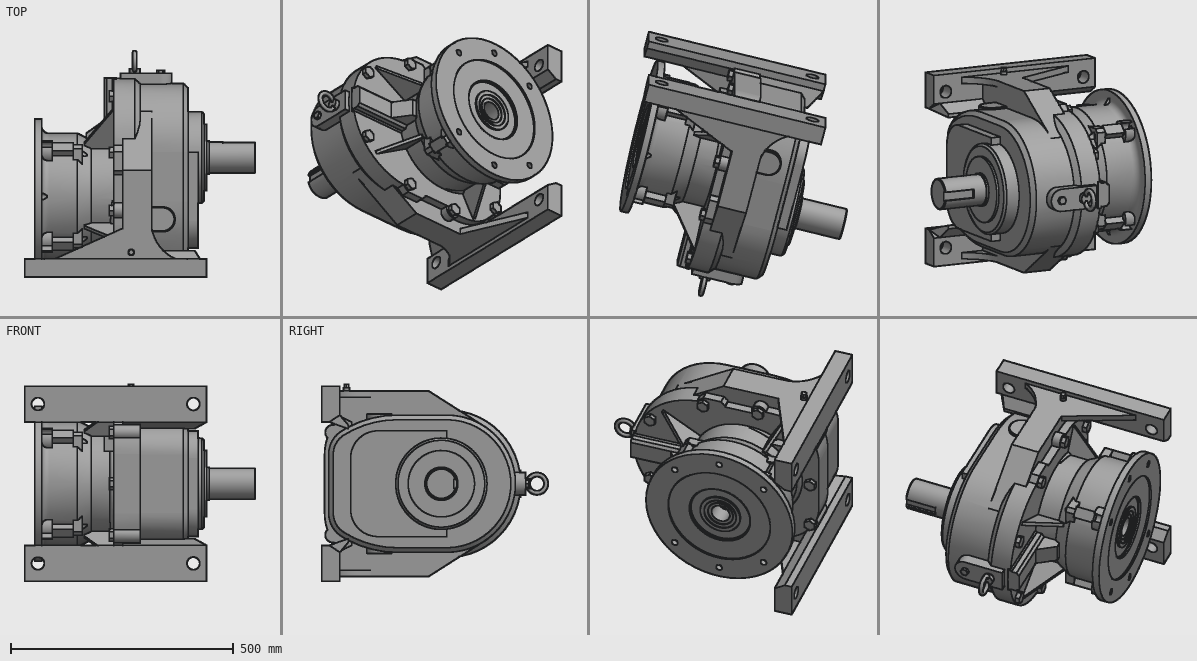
import cadquery as cq
import math


OUTPUT_Y = 88.0
BODY_Y = 100.5
BASE_Y = -181.5
RIM_BOTTOM_Y = -175.0

COVER_X = 178.5
COVER_END_X = 193.0
CROWN_RIM_END_X = 225.5
RIM_END_X = 238.0
BODY_END_X = 345.5

FLANGE_R = 350.0 / 2
FLANGE_T = 16.0
BELL_R = 142.5
BELL_TAPER_X = 96.0
BELL_NECK_X = 123.0
BELL_NECK_R = 129.0
NECK_X = 128.0
NECK_R = 126.0
BELL_FILLET = 15.0
COLLAR_T = 9.0
COLLAR_FILLET = 8.0
COLLAR_DROP = 10.0
BOLT_CIRCLE_R = 150.0
FLANGE_HOLE_D = 14.0
FLANGE_HOLE_DEPTH = 29.0
FLANGE_HOLE_ANGLES = (45, 90, 135, 225, 270, 315)
DIAGONALS = (45, 135, 225, 315)

RIM_R = 166.5
BODY_R = 154.5
BODY_CHAMFER = 10.5
SKIRT_HALF_Z = 178.0
SKIRT_TOP_Y = -47.0
SKIRT_CORNER_R = 111.5
BODY_SIDE_END_Y = -11.5
BODY_FLAT_HALF_Z = 65.5

FOOT_START_X = -23.0
FOOT_END_X = 387.5
FOOT_T = 41.0
FOOT_TOP_Y = BASE_Y + FOOT_T
FOOT_OUTER_Z = 220.0
FOOT_INNER_Z = 139.0
FOOT_BEVEL_Z = 15.5
FOOT_BEVEL_Y = 24.5
FOOT_HOLE_D = 28.0
FOOT_HOLE_Z = 179.5
FOOT_HOLE_XS = (7.5, 357.0)

ARM_X0 = 198.0
ARM_X1 = 263.5
ARM_OUTER_Z = 209.0
ARM_PLATE_T = 14.5
ARM_SLOPE_Y = 59.5
ARM_TOP_Y = 191.5
ARM_BOTTOM_Y = -114.5
ARM_TOP_Z = 125.0
FLARE_Y = -72.0

OVERLAP = 5.0


def rod_x(diameter, x0, x1, y=0.0, z=0.0):
    return cq.Workplane("YZ", origin=(x0, y, z)).circle(diameter / 2).extrude(x1 - x0)


def box(x0, x1, y0, y1, z0, z1):
    size = cq.Workplane("XY").box(x1 - x0, y1 - y0, z1 - z0, centered=False)
    return size.translate((x0, y0, z0))


def prism_x(outline, x0, x1):
    """Extrude a (Y, Z) outline along X."""
    return cq.Workplane("YZ", origin=(x0, 0, 0)).polyline(outline).close().extrude(x1 - x0)


def mirrored_z(solid):
    return solid.union(solid.mirror("XY"))


def turn_x(solid, angle):
    """Turn a solid about the input axis, from +Y towards +Z."""
    return solid.rotate((0, 0, 0), (1, 0, 0), angle)


def make_bell():
    arc = 1 - math.sqrt(0.5)
    fillet_end_x = FLANGE_T + BELL_FILLET
    profile = (
        cq.Workplane("XY")
        .lineTo(0, FLANGE_R)
        .lineTo(FLANGE_T, FLANGE_R)
        .lineTo(FLANGE_T, BELL_R + BELL_FILLET)
        .threePointArc(
            (FLANGE_T + arc * BELL_FILLET, BELL_R + arc * BELL_FILLET), (fillet_end_x, BELL_R)
        )
        .lineTo(BELL_TAPER_X, BELL_R)
        .lineTo(BELL_NECK_X, BELL_NECK_R)
        .lineTo(NECK_X, NECK_R)
        .lineTo(COVER_X + OVERLAP, NECK_R)
        .lineTo(COVER_X + OVERLAP, 0)
        .close()
    )
    bell = profile.revolve(360, (0, 0, 0), (1, 0, 0))
    collar = rod_x(2 * NECK_R, COVER_X - COLLAR_T, COVER_X + OVERLAP, -COLLAR_DROP)
    return bell.union(collar.faces("<X").fillet(COLLAR_FILLET))


def add_bell_ribs(part):
    """Diagonal ribs with nut pockets behind the flange, ending in a square pad with tool grooves."""
    rib_outer_r = 158.0
    rib_width = 25.0
    pad_x0 = 86.5
    pad_x1 = 107.0
    pad_half = 116.0
    pad_corner_cut = 8.5
    boss_d = 52.0
    boss_r = 140.5
    pocket_d = 26.0
    pocket_x1 = 39.5
    groove_d = 15.5
    groove_r = 139.5
    pad = (
        box(pad_x0, pad_x1, -pad_half, pad_half, -pad_half, pad_half)
        .edges("|X")
        .chamfer(pad_corner_cut)
    )
    part = part.union(pad)
    rib = box(FLANGE_T - OVERLAP, pad_x0, NECK_R, rib_outer_r, -rib_width / 2, rib_width / 2)
    boss = rod_x(boss_d, FLANGE_T - OVERLAP, pocket_x1, boss_r)
    pocket = rod_x(pocket_d, FLANGE_T, pocket_x1, BOLT_CIRCLE_R + OVERLAP)
    groove = rod_x(groove_d, pad_x1 - OVERLAP, BELL_NECK_X, groove_r)
    for angle in DIAGONALS:
        part = part.union(turn_x(rib.union(boss), angle))
        part = part.cut(turn_x(pocket.union(groove), angle))
    return part


def cut_flange_face(part):
    """Bolt holes, spigot recess and stepped input bore."""
    hole = rod_x(FLANGE_HOLE_D, 0, FLANGE_HOLE_DEPTH, BOLT_CIRCLE_R)
    for angle in FLANGE_HOLE_ANGLES:
        part = part.cut(turn_x(hole, angle))
    recess_d = 244.0
    recess_depth = 4.0
    seat_d = 145.5
    seat_depth = 10.5
    seat_lip_d = 141.5
    seat_lip_depth = 9.0
    hub_d = 95.0
    hub_depth = 6.0
    sleeve_d = 76.5
    collar_d = 60.0
    collar_depth = 8.5
    bore_d = 43.5
    bore_depth = 52.0
    part = part.cut(rod_x(recess_d, 0, recess_depth))
    part = part.cut(rod_x(seat_d, 0, seat_lip_depth))
    part = part.cut(rod_x(seat_lip_d, 0, seat_depth))
    part = part.union(rod_x(hub_d, hub_depth, seat_depth + OVERLAP))
    part = part.cut(rod_x(sleeve_d, 0, collar_depth))
    part = part.cut(rod_x(collar_d, 0, seat_depth))
    return part.cut(rod_x(bore_d, 0, bore_depth))


BOLT_SITES = ((225.5, 85.0), (99.5, 160.0), (-31.5, 173.0), (-156.5, 115.5))
BOTTOM_BOLT_Y = -156.5


def make_rim():
    """Cover and rim together: crown disc, straight sides, wide skirt and bolt bosses."""
    rim = rod_x(2 * RIM_R, COVER_X, CROWN_RIM_END_X, BODY_Y)
    cone = (
        cq.Workplane("YZ", origin=(CROWN_RIM_END_X, BODY_Y, 0))
        .circle(RIM_R)
        .workplane(offset=RIM_END_X - CROWN_RIM_END_X)
        .circle(BODY_R)
        .loft()
    )
    rim = rim.union(cone)
    rim = rim.union(box(COVER_X, CROWN_RIM_END_X, SKIRT_TOP_Y, BODY_Y, -RIM_R, RIM_R))

    skirt = box(COVER_X, RIM_END_X, RIM_BOTTOM_Y, SKIRT_TOP_Y, -SKIRT_HALF_Z, SKIRT_HALF_Z)
    rim = rim.union(skirt.edges("|X and <Y").fillet(SKIRT_CORNER_R))

    ledge_z = 179.0
    ledge_bottom_y = 49.0
    ledge_top_y = 101.0
    ledge_bevel = 9.5
    ledge_blend_y = 120.5
    ledge_outline = [(ledge_bottom_y, 0), (ledge_bottom_y, ledge_z - ledge_bevel),
                     (ledge_bottom_y + ledge_bevel, ledge_z), (ledge_top_y, ledge_z),
                     (ledge_blend_y, RIM_R - 5.0), (ledge_blend_y, 0)]
    ledge = mirrored_z(prism_x(ledge_outline, COVER_X, CROWN_RIM_END_X))
    rim = rim.union(ledge)

    boss_d = 34.5
    for y, z in BOLT_SITES[2:]:
        rim = rim.union(mirrored_z(rod_x(boss_d, COVER_X, RIM_END_X, y, z)))
    return rim


def make_body():
    """Round crown, upright sides, and lower corners that curl under to a flat bottom."""
    bottom_y = -166.0
    corner_y = -137.0
    corner_z = 118.5
    half = (
        cq.Workplane("YZ", origin=(RIM_END_X - OVERLAP, 0, 0))
        .moveTo(BODY_Y + BODY_R, 0)
        .radiusArc((BODY_Y, BODY_R), -BODY_R)
        .lineTo(BODY_SIDE_END_Y, BODY_R)
        .tangentArcPoint((corner_y, corner_z), relative=False)
        .tangentArcPoint((bottom_y, BODY_FLAT_HALF_Z), relative=False)
        .lineTo(bottom_y, 0)
        .close()
        .extrude(BODY_END_X - RIM_END_X + OVERLAP)
    )
    return mirrored_z(half).faces(">X").chamfer(BODY_CHAMFER)


def make_side_window():
    """Round-ended raised pad on each flank of the body."""
    centre_x = 288.0
    centre_y = -51.5
    radius = 28.0
    pad_z = 158.0
    pad_chamfer = 2.0
    slot = cq.Workplane("XY", origin=(centre_x, centre_y, 0)).circle(radius).extrude(pad_z)
    slot = slot.union(box(ARM_X1 - OVERLAP, centre_x, centre_y - radius, centre_y + radius, 0, pad_z))
    return mirrored_z(slot.faces(">Z").edges().chamfer(pad_chamfer))


def make_output_end():
    block_x1 = 368.0
    block_half_z = 119.0
    block_bottom_y = -116.5
    block_top_y = 100.0
    block_corner_r = 61.5
    cap_d = 206.0
    cap_x1 = 381.5
    cap_chamfer = 5.0
    seal_d = 150.0
    seal_x1 = 387.5
    shoulder_d = 75.0
    shoulder_x1 = 392.5
    shaft_d = 70.0
    shaft_x1 = 497.0
    shaft_chamfer = 2.0
    key_x0 = 424.0
    key_width = 20.0
    key_depth = 7.5

    start = BODY_END_X - OVERLAP
    block = box(start, block_x1, block_bottom_y, block_top_y, -block_half_z, block_half_z)
    end = block.edges("|X and <Y").fillet(block_corner_r)
    end = end.union(rod_x(cap_d, start, cap_x1, OUTPUT_Y).faces(">X").chamfer(cap_chamfer))
    end = end.union(rod_x(seal_d, start, seal_x1, OUTPUT_Y))
    end = end.union(rod_x(shoulder_d, start, shoulder_x1, OUTPUT_Y))
    end = end.union(rod_x(shaft_d, start, shaft_x1, OUTPUT_Y).faces(">X").chamfer(shaft_chamfer))
    key_top = OUTPUT_Y + shaft_d / 2
    keyway = box(key_x0, shaft_x1, key_top - key_depth, key_top, -key_width / 2, key_width / 2)
    return end.cut(keyway)


def hex_bolts():
    """Hexagon heads on the cover, one corner pointing along Z."""
    head_d = 27.5
    head_h = 10.5
    sites = [(BOTTOM_BOLT_Y, 0)]
    for y, z in BOLT_SITES:
        sites += [(y, z), (y, -z)]
    head = cq.Workplane("YZ", origin=(COVER_X - head_h, 0, 0)).polygon(6, head_d)
    head = head.extrude(head_h + OVERLAP).rotate((0, 0, 0), (1, 0, 0), 90)
    bolts = head.translate((0, *sites[0]))
    for y, z in sites[1:]:
        bolts = bolts.union(head.translate((0, y, z)))
    return bolts


def cover_gusset(angle, outer_r):
    """Radial triangular web between the bell and the cover."""
    thickness = 8.0
    foot_x = 111.5
    foot_r = 138.0
    web = (
        cq.Workplane("XY", origin=(0, 0, -thickness / 2))
        .polyline([(foot_x, foot_r), (COVER_X + OVERLAP, outer_r + OVERLAP),
                   (COVER_X + OVERLAP, NECK_R - OVERLAP), (foot_x, NECK_R - OVERLAP)])
        .close()
        .extrude(thickness)
    )
    return turn_x(web, angle)


def make_cover_ribs():
    spine_x = 156.5
    spine_half_z = 30.5
    spine_flank_half_z = 27.0
    spine_face_half_z = 21.0
    spine_top_y = 267.0
    spine_knee_y = 171.0
    spine_foot_x = 116.0
    side = (
        cq.Workplane("XY", origin=(0, 0, -spine_half_z))
        .polyline([(spine_foot_x, BELL_R), (spine_x, spine_knee_y), (spine_x, spine_top_y),
                   (COVER_X + OVERLAP, spine_top_y), (COVER_X + OVERLAP, NECK_R - OVERLAP),
                   (spine_foot_x, NECK_R - OVERLAP)])
        .close()
        .extrude(2 * spine_half_z)
    )
    nose_x = spine_x + spine_flank_half_z - spine_face_half_z
    root_x = COVER_X - spine_half_z + spine_flank_half_z
    half_section = [(0, spine_face_half_z), (spine_x, spine_face_half_z), (nose_x, spine_flank_half_z),
                    (root_x, spine_flank_half_z), (COVER_X, spine_half_z),
                    (COVER_X + OVERLAP, spine_half_z)]
    section = half_section + [(x, -z) for x, z in reversed(half_section)]
    width = (
        cq.Workplane("XZ", origin=(0, spine_top_y + OVERLAP, 0))
        .polyline(section)
        .close()
        .extrude(spine_top_y + 2 * OVERLAP)
    )
    ribs = side.intersect(width)
    for angle, outer_r in ((30, 230.5), (120, 192.5)):
        ribs = ribs.union(cover_gusset(angle, outer_r)).union(cover_gusset(-angle, outer_r))
    pad_x, pad_y0, pad_y1, pad_z0, pad_z1 = 157.0, -125.0, -62.5, 73.0, 107.0
    return ribs.union(box(pad_x, COVER_X + OVERLAP, pad_y0, pad_y1, pad_z0, pad_z1))


def make_foot():
    outline = [(BASE_Y, FOOT_INNER_Z), (BASE_Y, FOOT_OUTER_Z), (FOOT_TOP_Y, FOOT_OUTER_Z),
               (FOOT_TOP_Y, FOOT_INNER_Z + FOOT_BEVEL_Z), (FOOT_TOP_Y - FOOT_BEVEL_Y, FOOT_INNER_Z)]
    foot = prism_x(outline, FOOT_START_X, FOOT_END_X)
    for x in FOOT_HOLE_XS:
        hole = cq.Workplane("XZ", origin=(x, FOOT_TOP_Y, FOOT_HOLE_Z)).circle(FOOT_HOLE_D / 2)
        foot = foot.cut(hole.extrude(FOOT_T))
    return foot


def make_arm():
    """Solid arm with an outer plate that flares out towards the foot."""
    flare_x0 = 46.0
    flare_x1 = 316.5
    flare_mid = (282.5, -114.0)
    arm = prism_x(
        [(FOOT_TOP_Y - OVERLAP, ARM_OUTER_Z), (ARM_SLOPE_Y, ARM_OUTER_Z), (ARM_TOP_Y, ARM_TOP_Z),
         (ARM_TOP_Y, 0), (ARM_BOTTOM_Y, 0), (ARM_BOTTOM_Y, FOOT_INNER_Z),
         (FOOT_TOP_Y - OVERLAP, FOOT_INNER_Z + FOOT_BEVEL_Z)],
        ARM_X0, ARM_X1,
    )
    flare = (
        cq.Workplane("XY", origin=(0, 0, ARM_OUTER_Z - ARM_PLATE_T))
        .moveTo(flare_x0, FOOT_TOP_Y)
        .lineTo(ARM_X0, FLARE_Y)
        .lineTo(ARM_X1, FLARE_Y)
        .threePointArc(flare_mid, (flare_x1, FOOT_TOP_Y))
        .lineTo(flare_x1, FOOT_TOP_Y - OVERLAP)
        .lineTo(flare_x0, FOOT_TOP_Y - OVERLAP)
        .close()
        .extrude(ARM_PLATE_T)
    )
    return arm.union(flare)


def make_foot_tie():
    """Sloping web between the body and the foot, cut back at its output end."""
    inner_z = 124.0
    thickness = 8.5
    bottom_y = FOOT_TOP_Y - FOOT_BEVEL_Y
    top_y = -121.5
    tie_x1 = 360.5
    web = prism_x(
        [(bottom_y, FOOT_INNER_Z), (top_y, inner_z), (top_y, inner_z + thickness),
         (FOOT_TOP_Y, FOOT_INNER_Z + FOOT_BEVEL_Z)],
        ARM_X0, FOOT_END_X,
    )
    side = (
        cq.Workplane("XY")
        .polyline([(ARM_X0, bottom_y), (FOOT_END_X, bottom_y), (tie_x1, top_y), (ARM_X0, top_y)])
        .close()
        .extrude(FOOT_OUTER_Z)
    )
    return web.intersect(side)


def make_lifting_pad():
    pad_half_z = 25.5
    pad_top_y = 277.5
    pad_end_x = 283.5
    plug_d = 18.0
    plug_h = 7.0
    collar_d = 24.5
    collar_h = 10.5
    eye_x = 225.0
    eye_outer_d = 51.0
    eye_wire_d = 10.0
    eye_top_y = 328.5
    ring_y = eye_top_y - eye_outer_d / 2

    root_y = BODY_Y + BODY_R - 10.5
    pad = box(COVER_END_X, pad_end_x, root_y, pad_top_y, -pad_half_z, pad_half_z)

    def rod_y(diameter, x, y0, y1):
        disc = cq.Workplane("XZ", origin=(x, y1, 0)).circle(diameter / 2)
        return disc.extrude(y1 - y0)

    pad = pad.union(rod_y(2 * pad_half_z, pad_end_x, root_y, pad_top_y))
    plug = cq.Workplane("XZ", origin=(pad_end_x, pad_top_y + plug_h, 0)).polygon(6, plug_d)
    pad = pad.union(plug.extrude(plug_h + OVERLAP))
    pad = pad.union(rod_y(collar_d, eye_x, pad_top_y - OVERLAP, pad_top_y + collar_h))
    ring_r = (eye_outer_d - eye_wire_d) / 2
    ring = (
        cq.Workplane("XY", origin=(eye_x, ring_y + ring_r, 0))
        .circle(eye_wire_d / 2)
        .revolve(360, (0, -ring_r, 0), (1, -ring_r, 0))
    )
    return pad.union(ring)


def make_side_plug():
    """Vent plug on the +Z arm: round collar with a hexagon head."""
    plug_x = 217.5
    plug_y = -126.0
    collar_d = 14.0
    collar_h = 7.0
    head_d = 12.5
    head_top_h = 15.0
    start = cq.Workplane("XY", origin=(plug_x, plug_y, ARM_OUTER_Z - OVERLAP))
    collar = start.circle(collar_d / 2).extrude(OVERLAP + collar_h)
    return collar.union(start.polygon(6, head_d).extrude(OVERLAP + head_top_h))


result = cut_flange_face(add_bell_ribs(make_bell()))
for feature in (
    make_rim(),
    make_body(),
    make_side_window(),
    make_output_end(),
    make_cover_ribs(),
    hex_bolts(),
    mirrored_z(make_arm()),
    mirrored_z(make_foot()),
    mirrored_z(make_foot_tie()),
    make_lifting_pad(),
    make_side_plug(),
):
    result = result.union(feature)